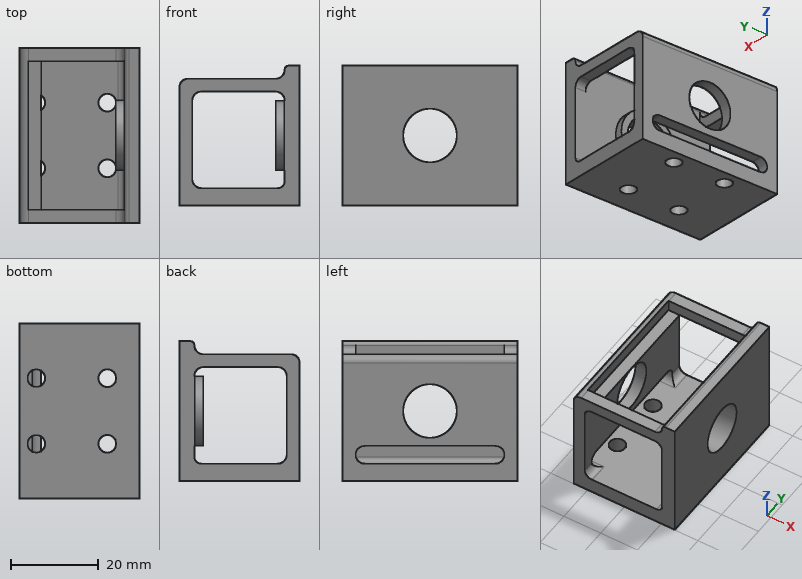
import cadquery as cq

width = 27.5
length = 40.0
height = 32.0

corner_radius = 2.0
floor_right_radius = 1.5
lip_radius = 1.0

left_wall = 3.0
right_wall = 3.5
floor = 4.0
roof_top = height - lip_radius - corner_radius
roof_thickness = 3.0
ceiling = roof_top - roof_thickness
right_face = width - right_wall

end_bar = 3.0
opening_length = length - 2 * end_bar
bore_diameter = 12.2
bore_height = 16.0
boss_diameter = 16.0
boss_depth = 2.0
slot_height = 4.0
hole_diameter = 4.0
hole_spacing_x = 16.25
hole_spacing_y = 15.0
first_hole_x = 3.9

mid_y = length / 2


def extrude_along_y(profile):
    """Extrude an XZ profile from y = 0 to the full length."""
    return profile.extrude(-length)


def cylinder_along_x(diameter, x_start, x_end):
    """Cylinder on the common axis of the two side bores."""
    plane = cq.Workplane("YZ", origin=(x_start, mid_y, bore_height))
    return plane.circle(diameter / 2).extrude(x_end - x_start)


def outer_section():
    """Block with a lower roof and a raised lip on the right wall."""
    return extrude_along_y(
        cq.Workplane("XZ")
        .lineTo(width, 0)
        .lineTo(width, height)
        .lineTo(right_face + lip_radius, height)
        .tangentArcPoint((right_face, height - lip_radius), relative=False)
        .tangentArcPoint((right_face - corner_radius, roof_top), relative=False)
        .lineTo(corner_radius, roof_top)
        .tangentArcPoint((0, roof_top - corner_radius), relative=False)
        .close()
    )


def inner_cavity():
    """Tunnel through the full length, with a smaller corner at the floor on the right."""
    cavity = extrude_along_y(
        cq.Workplane("XZ")
        .moveTo(left_wall, floor)
        .lineTo(right_face, floor)
        .lineTo(right_face, ceiling)
        .lineTo(left_wall, ceiling)
        .close()
    )
    cavity = cavity.edges("|Y and (<X or >Z)").fillet(corner_radius)
    floor_right_corner = cq.NearestToPointSelector((right_face, mid_y, floor))
    return cavity.edges(floor_right_corner).fillet(floor_right_radius)


def roof_opening():
    """Opening between the end bars, leaving the left ceiling fillet as a ledge."""
    upper = cq.Workplane("XY").box(
        right_face - corner_radius, opening_length, height - ceiling, centered=False
    ).translate((corner_radius, end_bar, ceiling))
    right_corner = cq.Workplane("XY").box(
        corner_radius, opening_length, corner_radius, centered=False
    ).translate((right_face - corner_radius, end_bar, ceiling - corner_radius))
    return upper.union(right_corner)


def wall_slot():
    """Long slot level with the floor, through the left wall and its floor fillet."""
    plane = cq.Workplane("YZ", origin=(0, mid_y, floor + slot_height / 2))
    return plane.slot2D(opening_length, slot_height).extrude(left_wall + corner_radius)


def floor_holes():
    """Rectangular pattern of four holes through the floor."""
    center_x = first_hole_x + hole_spacing_x / 2
    return (
        cq.Workplane("XY", origin=(center_x, mid_y, 0))
        .rect(hole_spacing_x, hole_spacing_y, forConstruction=True)
        .vertices()
        .circle(hole_diameter / 2)
        .extrude(floor + slot_height / 2)
    )


body = outer_section().cut(inner_cavity()).cut(roof_opening())
body = body.union(cylinder_along_x(boss_diameter, right_face - boss_depth, right_face))
body = body.cut(cylinder_along_x(bore_diameter, 0, width))
result = body.cut(wall_slot()).cut(floor_holes())